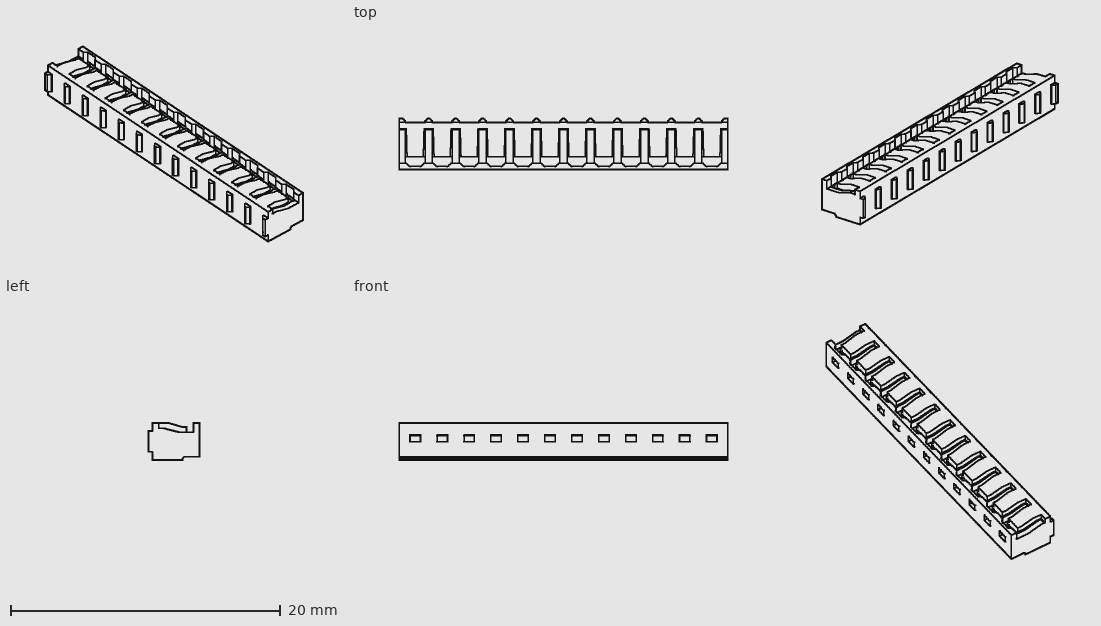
import cadquery as cq

length = 24.4
height = 2.75
body_depth = 3.5
pitch = 2.0
rib_count = 13

step_y = 1.26
step_height = 0.23
step_chamfer = 0.11

front_wall = 0.46
back_wall_y = 3.03
gap_depth = 0.03

rib_half_width = 0.27
rib_back_gap = 0.07
rib_low_z = 2.07
rib_high_z = 2.37
rib_slope_front = 1.52
rib_slope_back = 2.67

block_front_y = 0.96
block_shelf_z = 2.46
block_slope_front = 1.3
block_slope_back = 2.29
block_half_back = 0.66
block_half_front = 0.60

pocket_floor = 1.36
pocket_half_width = pitch / 2 - rib_half_width
notch_wall = 0.23
notch_half_width = 0.65
notch_run = front_wall - notch_wall

undercut_top = 1.79
undercut_back_y = block_slope_front

window_width = 0.76
window_top = 1.87

tooth_reach = 0.3
tooth_half_width = 0.28
tooth_chamfer = 0.22
tooth_bottom = 0.6
tooth_top = 2.16

rib_centers = [(i - (rib_count - 1) / 2) * pitch for i in range(rib_count)]
block_centers = [x + pitch / 2 for x in rib_centers[:-1]]
channel_floor = rib_low_z - gap_depth
insert_base = channel_floor - gap_depth


def extrude_along_x(points, x_center, width):
    """Extrude a closed (Y, Z) outline symmetrically about x_center."""
    start = cq.Workplane("YZ").workplane(offset=x_center - width / 2)
    return start.polyline(points).close().extrude(width)


def extrude_up(points, bottom, top):
    """Extrude a closed (X, Y) outline from bottom to top."""
    return cq.Workplane("XY").workplane(offset=bottom).polyline(points).close().extrude(top - bottom)


def make_body():
    return extrude_along_x(
        [
            (0, step_height),
            (step_y - step_chamfer, step_height),
            (step_y, step_height - step_chamfer),
            (step_y, 0),
            (body_depth, 0),
            (body_depth, height),
            (back_wall_y, height),
            (back_wall_y, rib_high_z - gap_depth),
            (rib_slope_back, rib_high_z - gap_depth),
            (rib_slope_front, channel_floor),
            (front_wall, channel_floor),
            (front_wall, height),
            (0, height),
        ],
        0,
        length,
    )


def make_rib(x):
    rib_back = back_wall_y - rib_back_gap
    outline = [
        (front_wall, insert_base),
        (rib_back, insert_base),
        (rib_back, rib_high_z),
        (rib_slope_back, rib_high_z),
        (rib_slope_front, rib_low_z),
        (front_wall, rib_low_z),
    ]
    return extrude_along_x(outline, x, 2 * rib_half_width)


def make_block(x):
    side_outline = [
        (block_front_y, insert_base),
        (back_wall_y, insert_base),
        (back_wall_y, height),
        (block_slope_back, height),
        (block_slope_front, block_shelf_z),
        (block_front_y, block_shelf_z),
    ]
    plan_outline = [
        (x - block_half_front, block_front_y),
        (x + block_half_front, block_front_y),
        (x + block_half_back, back_wall_y),
        (x - block_half_back, back_wall_y),
    ]
    plan = extrude_up(plan_outline, insert_base, height)
    return extrude_along_x(side_outline, x, pitch).intersect(plan)


def make_pocket(x):
    """Open pocket in front of a block, notched into the back of the front wall."""
    outline = [
        (x - pocket_half_width, block_front_y),
        (x - pocket_half_width, front_wall),
        (x - notch_half_width, front_wall),
        (x - notch_half_width + notch_run, notch_wall),
        (x + notch_half_width - notch_run, notch_wall),
        (x + notch_half_width, front_wall),
        (x + pocket_half_width, front_wall),
        (x + pocket_half_width, block_front_y),
    ]
    return extrude_up(outline, pocket_floor, height)


def make_undercut(x):
    """Recess that continues the pocket below a block."""
    outline = [
        (block_front_y, pocket_floor),
        (undercut_back_y, pocket_floor),
        (undercut_back_y, undercut_top),
        (block_front_y, undercut_top),
    ]
    return extrude_along_x(outline, x, 2 * block_half_front)


def make_window(x):
    outline = [
        (0, pocket_floor),
        (notch_wall, pocket_floor),
        (notch_wall, window_top),
        (0, window_top),
    ]
    return extrude_along_x(outline, x, window_width)


def make_tooth(x):
    tip = body_depth + tooth_reach
    shoulder = tip - tooth_chamfer
    tip_half_width = tooth_half_width - tooth_chamfer
    outline = [
        (x - tooth_half_width, body_depth),
        (x + tooth_half_width, body_depth),
        (x + tooth_half_width, shoulder),
        (x + tip_half_width, tip),
        (x - tip_half_width, tip),
        (x - tooth_half_width, shoulder),
    ]
    return extrude_up(outline, tooth_bottom, tooth_top)


def make_end_tooth_fill(side):
    """Square off the outer half of an end tooth; side is -1 or 1 along X."""
    tip = body_depth + tooth_reach
    inner_x = side * rib_centers[-1]
    outer_x = side * length / 2
    outline = [(inner_x, body_depth), (outer_x, body_depth), (outer_x, tip), (inner_x, tip)]
    return extrude_up(outline, tooth_bottom, tooth_top)


result = make_body()

for center in block_centers:
    result = result.union(make_block(center))
    result = result.cut(make_pocket(center)).cut(make_undercut(center)).cut(make_window(center))

for center in rib_centers:
    result = result.union(make_rib(center)).union(make_tooth(center))

for end_side in (-1, 1):
    result = result.union(make_end_tooth_fill(end_side))

end_trim = cq.Workplane("XY").box(length, 2 * (body_depth + tooth_reach), 2 * height)
result = result.intersect(end_trim)